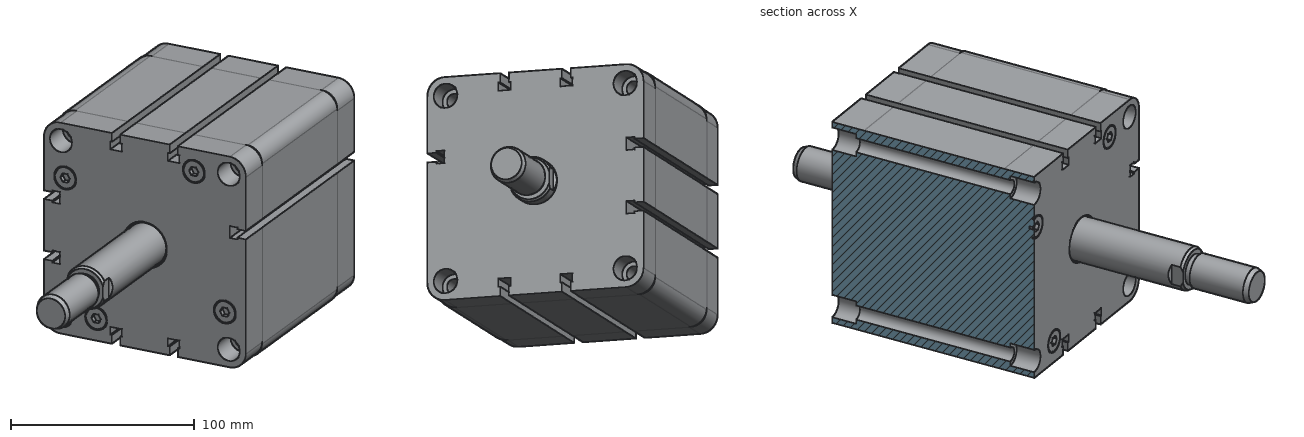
import cadquery as cq
import math


body_width = 124.0
body_length = 127.0
front_cap_length = 19.0
rear_cap_length = 20.0
tube_length = body_length - front_cap_length - rear_cap_length
cap_corner_radius = 10.0
tube_corner_radius = 9.0

slot_offset = 17.7
slot_mouth_width = 5.0
slot_mouth_depth = 5.2
slot_inner_width = 7.0
slot_depth = 9.8

mount_offset = 51.5
mount_hole_diameter = 8.38
mount_counterbore_diameter = 13.5
mount_counterbore_depth = 15.0

screw_near_offset = 30.0
screw_far_offset = 49.0
screw_seat_diameter = 13.5
screw_head_diameter = 12.5
screw_gap_depth = 1.0
socket_across_flats = 5.0
socket_depth = 3.0

rod_diameter = 25.0
rod_front_reach = 70.0
rod_rear_reach = 9.5
shoulder_chamfer_length = 1.7
shoulder_chamfer_height = 1.0
rod_clearance_diameter = 27.0
rod_clearance_depth = 1.0

thread_diameter = 20.0
thread_end_length = 40.0
thread_chamfer_length = 3.0
thread_tip_diameter = 17.5
undercut_diameter = 17.5
undercut_length = 3.5

flats_width = 22.0
flats_length = 7.0


def block(corner_radius, start, length):
    """Square block with rounded edges, running along +Y from start."""
    return (
        cq.Workplane("XY")
        .box(body_width, length, body_width)
        .edges("|Y")
        .fillet(corner_radius)
        .translate((0, start + length / 2, 0))
    )


def cylinder(diameter, start, length, x=0.0, z=0.0):
    """Cylinder running along +Y from start."""
    solid = cq.Solid.makeCylinder(
        diameter / 2, length, cq.Vector(x, start, z), cq.Vector(0, 1, 0)
    )
    return cq.Workplane(obj=solid)


def make_body():
    """Caps and tube in one solid; their shared borders stay as edges on the outside faces."""
    front_cap = block(cap_corner_radius, 0, front_cap_length)
    tube = block(tube_corner_radius, front_cap_length, tube_length)
    rear_cap = block(cap_corner_radius, body_length - rear_cap_length, rear_cap_length)
    return front_cap.union(tube, clean=False).union(rear_cap, clean=False)


def t_slot(offset, turn):
    """T-slot cutter for the top face, turned about the Y axis onto another face."""
    face = body_width / 2
    mouth = slot_mouth_width / 2
    inner = slot_inner_width / 2
    right_side = [
        (mouth, face),
        (mouth, face - slot_mouth_depth),
        (inner, face - slot_mouth_depth),
        (inner, face - slot_depth),
    ]
    left_side = [(-x, z) for x, z in reversed(right_side)]
    return (
        cq.Workplane("XZ", origin=(offset, 0, 0))
        .polyline(right_side + left_side)
        .close()
        .extrude(-body_length)
        .rotate((0, 0, 0), (0, 1, 0), turn)
    )


def cut_slots(body):
    top, right, bottom, left = 0, 90, 180, 270
    for turn in (top, bottom, left):
        for offset in (-slot_offset, slot_offset):
            body = body.cut(t_slot(offset, turn), clean=False)
    return body.cut(t_slot(-slot_offset, right), clean=False)


def cut_mounting_holes(body):
    for x in (-mount_offset, mount_offset):
        for z in (-mount_offset, mount_offset):
            hole = cylinder(mount_hole_diameter, 0, body_length, x, z)
            for start in (0, body_length - mount_counterbore_depth):
                hole = hole.union(
                    cylinder(mount_counterbore_diameter, start, mount_counterbore_depth, x, z)
                )
            body = body.cut(hole, clean=False)
    return body


def hexagon_socket(start, x, z):
    """Hexagonal prism running along +Y from start, two corners pointing along X."""
    across_corners = socket_across_flats / math.cos(math.radians(30))
    return (
        cq.Workplane("XZ", origin=(x, start, z))
        .polygon(6, across_corners)
        .extrude(-socket_depth)
    )


def cut_screws(body):
    positions = (
        (screw_near_offset, screw_far_offset),
        (-screw_far_offset, screw_near_offset),
        (-screw_near_offset, -screw_far_offset),
        (screw_far_offset, -screw_near_offset),
    )
    for x, z in positions:
        seat = cylinder(screw_seat_diameter, 0, screw_gap_depth, x, z)
        head = cylinder(screw_head_diameter, 0, screw_gap_depth, x, z)
        gap = seat.cut(head)
        body = body.cut(gap, clean=False).cut(hexagon_socket(0, x, z), clean=False)
    return body


def cut_rod_clearance(body):
    return body.cut(cylinder(rod_clearance_diameter, 0, rod_clearance_depth), clean=False)


def make_rod():
    """Turned rod with an undercut, threaded end at each side."""
    rod_radius = rod_diameter / 2
    thread_radius = thread_diameter / 2
    tip_radius = thread_tip_diameter / 2
    undercut_radius = undercut_diameter / 2
    shoulder_radius = rod_radius - shoulder_chamfer_height
    front_shoulder = -rod_front_reach
    rear_shoulder = body_length + rod_rear_reach

    def end_profile(shoulder, outward):
        """Outline points from the full rod out to the tip; outward is the Y sign."""
        tip = shoulder + outward * thread_end_length
        undercut_end = shoulder + outward * undercut_length
        return [
            (rod_radius, shoulder - outward * shoulder_chamfer_length),
            (shoulder_radius, shoulder),
            (undercut_radius, shoulder),
            (undercut_radius, undercut_end),
            (thread_radius, undercut_end),
            (thread_radius, tip - outward * thread_chamfer_length),
            (tip_radius, tip),
            (0, tip),
        ]

    front = end_profile(front_shoulder, -1)
    rear = end_profile(rear_shoulder, 1)
    rod = cq.Workplane("XY").polyline(front[::-1] + rear).close().revolve(360, (0, 0), (0, 1))
    for shoulder, outward in ((front_shoulder, -1), (rear_shoulder, 1)):
        for side in (-1, 1):
            rod = rod.cut(wrench_flat(shoulder, outward, side))
    return rod


def wrench_flat(shoulder, outward, side):
    """Cutter for one flat, ending in a 45 degree run-out towards the body."""
    inner = flats_width / 2
    outer = rod_diameter / 2
    flat_end = shoulder - outward * flats_length
    run_out_end = flat_end - outward * (outer - inner)
    return (
        cq.Workplane("XY")
        .polyline([
            (side * inner, shoulder),
            (side * outer, shoulder),
            (side * outer, run_out_end),
            (side * inner, flat_end),
        ])
        .close()
        .extrude(outer, both=True)
    )


body = make_body()
body = cut_slots(body)
body = cut_mounting_holes(body)
body = cut_screws(body)
body = cut_rod_clearance(body)
result = body.union(make_rod(), clean=False)